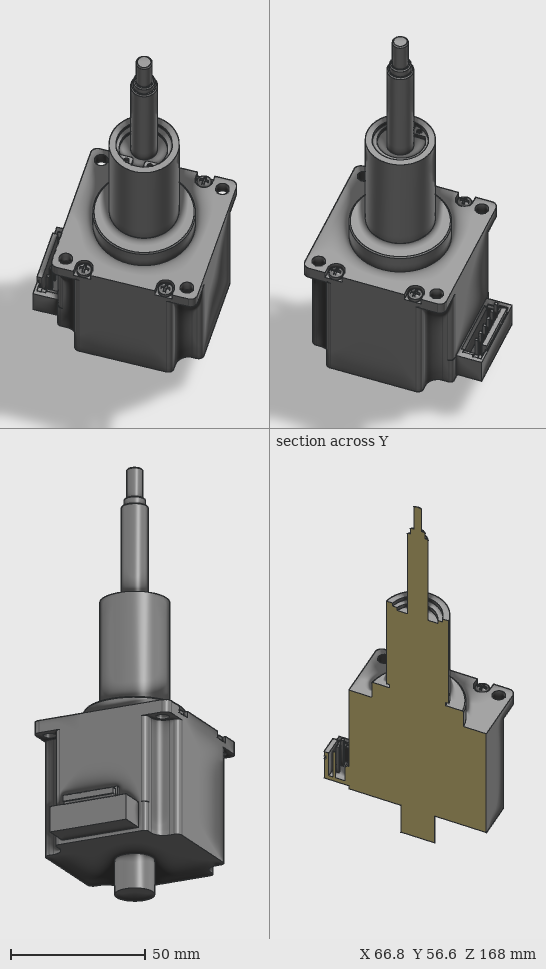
import cadquery as cq
import math


BODY_SIZE = 56.6
HALF_BODY = BODY_SIZE / 2
REAR_CAP_TOP = 11.6
FLANGE_BOTTOM = 45.5
FLANGE_TOP = 50.4
FLANGE_CORNER_RADIUS = 2.7

SCALLOP_INSET = 4.0
SCALLOP_RADIUS = 5.0
LIP_RADIUS = 2.2
REAR_CAP_LIP_RADIUS = 1.5

HOLE_OFFSET = 23.5
HOLE_DIAMETER = 5.0
SCREW_X = 15.8
SCREW_Y = 25.5
SCREW_POCKET_DIAMETER = 6.7
SCREW_POCKET_DEPTH = 2.5
SCREW_HEAD_DIAMETER = 5.4
SCREW_RIM_HEIGHT = 1.3
SCREW_DOME_HEIGHT = 1.2
CROSS_LENGTH = 3.4
CROSS_WIDTH = 0.8
CROSS_DEPTH = 1.3

OVERALL_HEIGHT = 168.0
SPIGOT_DIAMETER = 15.0
SPIGOT_LENGTH = 13.6
BOSS_DIAMETER = 38.3
BOSS_TOP = 58.1
NECK_DIAMETER = 23.9
SLEEVE_DIAMETER = 26.2
SLEEVE_BOTTOM = 59.5
SLEEVE_TOP = 101.6
SHAFT_DIAMETER = 10.0
SHAFT_SHOULDER = 139.6
JOURNAL_DIAMETER = 8.0
JOURNAL_TOP = 142.6
TIP_DIAMETER = 6.0
TIP_TOP = OVERALL_HEIGHT - SPIGOT_LENGTH
EDGE_CHAMFER = 0.5

BORE_DIAMETER = 21.0
RING_DEPTH = 1.5
RING_THICKNESS = 1.5
RING_OPENING_DIAMETER = 18.1
RING_OPENING_Y = -1.0
RING_LUG_Y = -6.0
RING_GAP = 4.5
LUG_CORNER_RADIUS = 1.0
LUG_HOLE_DIAMETER = 2.0
LUG_HOLE_X = 4.5
LUG_HOLE_Y = -7.9

CONNECTOR_LENGTH = 10.2
CONNECTOR_WIDTH = 31.8
CONNECTOR_BOTTOM = 1.5
CONNECTOR_TOP = REAR_CAP_TOP
FRONT_WALL = 1.3
BACK_WALL = 1.7
CAVITY_WIDTH = 23.9
CAVITY_DEPTH = 7.9
BACK_LEAD_IN = 1.0
END_RECESS_DEPTH = 0.5
END_RECESS_WIDTH = 26.5
END_RECESS_START = 4.4
END_NOTCH_WIDTH = 28.2
END_NOTCH_STARTS = (1.0, 2.5)
LATCH_WIDTH = 20.8
LATCH_TOP = 15.1
LATCH_HOOK_BOTTOM = 12.8
LATCH_THICKNESS = 2.0
LATCH_UNDERCUT = 0.7
PIN_COUNT = 6
PIN_PITCH = 3.96
PIN_SIZE = 1.2
PIN_INSET = 4.2
PIN_TOP = 16.6


def cylinder(diameter, bottom, top):
    return cq.Workplane("XY").workplane(offset=bottom).circle(diameter / 2).extrude(top - bottom)


def block(x_min, x_max, width, bottom, top):
    """Box centred on Y = 0."""
    return cq.Workplane("XY").box(
        x_max - x_min, width, top - bottom, centered=(False, True, False)
    ).translate((x_min, 0, bottom))


def corner_points(x_side, y_side, x_face_lip):
    """Points from the X face to the Y face: lip arc, line, scallop arc, line, lip arc."""
    reach = SCALLOP_INSET + SCALLOP_RADIUS
    scallop_middle = SCALLOP_INSET + SCALLOP_RADIUS * math.sqrt(0.5)
    arc_share = 1 - math.sqrt(0.5)
    insets = [
        (0, reach + x_face_lip),
        (x_face_lip * arc_share, reach + x_face_lip * arc_share),
        (x_face_lip, reach),
        (SCALLOP_INSET, reach),
        (scallop_middle, scallop_middle),
        (reach, SCALLOP_INSET),
        (reach, LIP_RADIUS),
        (reach + LIP_RADIUS * arc_share, LIP_RADIUS * arc_share),
        (reach + LIP_RADIUS, 0),
    ]
    return [(x_side * (HALF_BODY - x), y_side * (HALF_BODY - y)) for x, y in insets]


def body_section(bottom, top, minus_x_lip):
    """Square section with a scallop, bounded by two rounded lips, at each corner."""
    corners = [
        corner_points(-1, -1, minus_x_lip),
        corner_points(1, -1, LIP_RADIUS)[::-1],
        corner_points(1, 1, LIP_RADIUS),
        corner_points(-1, 1, minus_x_lip)[::-1],
    ]
    outline = cq.Workplane("XY").workplane(offset=bottom).moveTo(*corners[-1][-1])
    for start, lip_1, end_1, start_2, scallop, end_2, start_3, lip_2, end in corners:
        outline = outline.lineTo(*start).threePointArc(lip_1, end_1)
        outline = outline.lineTo(*start_2).threePointArc(scallop, end_2)
        outline = outline.lineTo(*start_3).threePointArc(lip_2, end)
    return outline.close().extrude(top - bottom)


def flange():
    plate = block(-HALF_BODY, HALF_BODY, BODY_SIZE, FLANGE_BOTTOM, FLANGE_TOP)
    plate = plate.edges("|Z").fillet(FLANGE_CORNER_RADIUS)
    hole_spacing = 2 * HOLE_OFFSET
    holes = (
        cq.Workplane("XY")
        .workplane(offset=FLANGE_BOTTOM)
        .rect(hole_spacing, hole_spacing, forConstruction=True)
        .vertices()
        .circle(HOLE_DIAMETER / 2)
        .extrude(FLANGE_TOP - FLANGE_BOTTOM)
    )
    return plate.cut(holes)


def screw_pocket(x_side, y_side):
    """Round-ended pocket that runs out through the nearest flange side."""
    run_out = HALF_BODY - SCREW_Y
    floor = FLANGE_TOP - SCREW_POCKET_DEPTH
    round_end = cylinder(SCREW_POCKET_DIAMETER, floor, FLANGE_TOP)
    slot = block(-SCREW_POCKET_DIAMETER / 2, SCREW_POCKET_DIAMETER / 2, run_out, floor, FLANGE_TOP)
    pocket = round_end.union(slot.translate((0, y_side * run_out / 2, 0)))
    return pocket.translate((x_side * SCREW_X, y_side * SCREW_Y, 0))


def screw_head(x_side, y_side):
    """Domed head with a cross recess."""
    radius = SCREW_HEAD_DIAMETER / 2
    floor = FLANGE_TOP - SCREW_POCKET_DEPTH
    rim = floor + SCREW_RIM_HEIGHT
    crown = rim + SCREW_DOME_HEIGHT
    sphere_radius = (radius**2 + SCREW_DOME_HEIGHT**2) / (2 * SCREW_DOME_HEIGHT)
    half_angle = math.asin(radius / sphere_radius) / 2
    dome_middle = (
        sphere_radius * math.sin(half_angle),
        crown - sphere_radius * (1 - math.cos(half_angle)),
    )
    head = (
        cq.Workplane("XZ")
        .moveTo(0, floor)
        .lineTo(radius, floor)
        .lineTo(radius, rim)
        .threePointArc(dome_middle, (0, crown))
        .close()
        .revolve(360, (0, 0, 0), (0, 1, 0))
    )
    for length, width in ((CROSS_LENGTH, CROSS_WIDTH), (CROSS_WIDTH, CROSS_LENGTH)):
        head = head.cut(block(-length / 2, length / 2, width, crown - CROSS_DEPTH, crown))
    return head.translate((x_side * SCREW_X, y_side * SCREW_Y, 0))


def sleeve():
    """Tube closed below its retaining ring, standing on a narrower neck."""
    ring_top = SLEEVE_TOP - RING_DEPTH
    floor = ring_top - RING_THICKNESS
    tube = cylinder(SLEEVE_DIAMETER, SLEEVE_BOTTOM, SLEEVE_TOP)
    tube = tube.cut(cylinder(BORE_DIAMETER, floor, SLEEVE_TOP))
    neck = cylinder(NECK_DIAMETER, BOSS_TOP, SLEEVE_BOTTOM)
    return tube.union(neck).union(retaining_ring(floor, ring_top))


def retaining_ring(bottom, top):
    """Ring with an eccentric opening and two drilled lugs facing -Y."""
    half_bore = BORE_DIAMETER / 2
    lug_height = half_bore + RING_LUG_Y
    lug_middle_y = (RING_LUG_Y - half_bore) / 2
    lugs = block(-half_bore, half_bore, lug_height, bottom, top).translate((0, lug_middle_y, 0))
    opening = cylinder(RING_OPENING_DIAMETER, bottom, top).translate((0, RING_OPENING_Y, 0)).cut(lugs)
    gap = block(-RING_GAP / 2, RING_GAP / 2, lug_height, bottom, top).translate((0, lug_middle_y, 0))
    ring = cylinder(BORE_DIAMETER, bottom, top).cut(opening).cut(gap)
    for side in (-1, 1):
        corner_point = (side * RING_GAP / 2, RING_LUG_Y, (bottom + top) / 2)
        lug_corner = cq.selectors.NearestToPointSelector(corner_point)
        ring = ring.edges("|Z").edges(lug_corner).fillet(LUG_CORNER_RADIUS)
        lug_hole = cylinder(LUG_HOLE_DIAMETER, bottom, top)
        ring = ring.cut(lug_hole.translate((side * LUG_HOLE_X, LUG_HOLE_Y, 0)))
    return ring


def stepped_shaft():
    shaft = cylinder(SHAFT_DIAMETER, BOSS_TOP, SHAFT_SHOULDER).faces(">Z").chamfer(EDGE_CHAMFER)
    journal = cylinder(JOURNAL_DIAMETER, SHAFT_SHOULDER, JOURNAL_TOP).faces(">Z").chamfer(EDGE_CHAMFER)
    tip = cylinder(TIP_DIAMETER, JOURNAL_TOP, TIP_TOP).faces(">Z").chamfer(EDGE_CHAMFER)
    return shaft.union(journal).union(tip)


def connector():
    """Open-topped pin header with a hooked latch wall along its outer side."""
    outer_x = -HALF_BODY - CONNECTOR_LENGTH
    cavity_back = -HALF_BODY - BACK_WALL
    floor = CONNECTOR_TOP - CAVITY_DEPTH
    housing = block(outer_x, -HALF_BODY, CONNECTOR_WIDTH, CONNECTOR_BOTTOM, CONNECTOR_TOP)
    housing = housing.cut(block(outer_x + FRONT_WALL, cavity_back, CAVITY_WIDTH, floor, CONNECTOR_TOP))
    recess_floor = CONNECTOR_TOP - END_RECESS_DEPTH
    housing = housing.cut(
        block(outer_x + END_RECESS_START, cavity_back, END_RECESS_WIDTH, recess_floor, CONNECTOR_TOP)
    )
    for step, notch_start in enumerate(END_NOTCH_STARTS, start=1):
        notch_floor = CONNECTOR_TOP - step * END_RECESS_DEPTH
        notch_end = outer_x + END_RECESS_START
        notch = block(outer_x + notch_start, notch_end, END_NOTCH_WIDTH, notch_floor, CONNECTOR_TOP)
        housing = housing.cut(notch)
    lead_in = (
        cq.Workplane("XZ")
        .moveTo(cavity_back, CONNECTOR_TOP)
        .lineTo(cavity_back + BACK_LEAD_IN, CONNECTOR_TOP)
        .lineTo(cavity_back, CONNECTOR_TOP - BACK_LEAD_IN)
        .close()
        .extrude(CAVITY_WIDTH / 2, both=True)
    )
    housing = housing.cut(lead_in)

    latch_inner = outer_x + LATCH_THICKNESS
    latch = block(outer_x + LATCH_UNDERCUT, latch_inner, LATCH_WIDTH, floor, LATCH_TOP)
    hook = block(outer_x, latch_inner, LATCH_WIDTH, LATCH_HOOK_BOTTOM, LATCH_TOP)
    housing = housing.union(latch).union(hook)

    pin_x = outer_x + PIN_INSET
    pin = block(pin_x - PIN_SIZE / 2, pin_x + PIN_SIZE / 2, PIN_SIZE, floor, PIN_TOP)
    for index in range(PIN_COUNT):
        pin_y = (index - (PIN_COUNT - 1) / 2) * PIN_PITCH
        housing = housing.union(pin.translate((0, pin_y, 0)))
    return housing


motor = body_section(0, REAR_CAP_TOP, REAR_CAP_LIP_RADIUS)
motor = motor.union(body_section(REAR_CAP_TOP, FLANGE_BOTTOM, LIP_RADIUS)).union(flange())
for x_direction in (-1, 1):
    for y_direction in (-1, 1):
        motor = motor.cut(screw_pocket(x_direction, y_direction))
        motor = motor.union(screw_head(x_direction, y_direction))

spigot = cylinder(SPIGOT_DIAMETER, -SPIGOT_LENGTH, 0)
boss = cylinder(BOSS_DIAMETER, FLANGE_TOP, BOSS_TOP).faces(">Z").chamfer(EDGE_CHAMFER)

result = motor.union(spigot).union(boss).union(sleeve()).union(stepped_shaft()).union(connector())